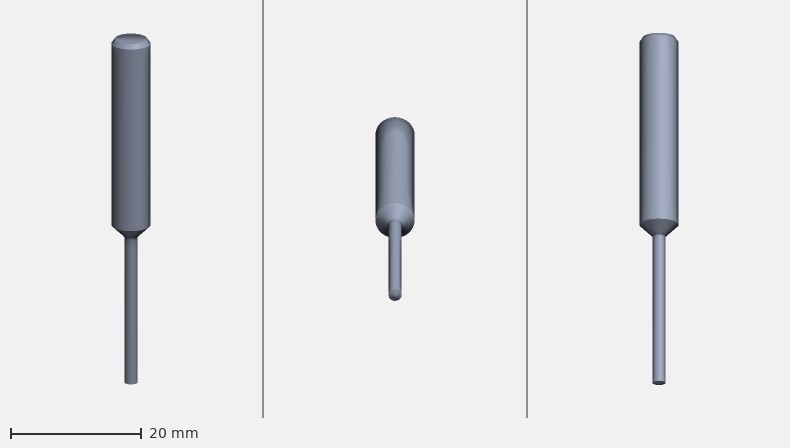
import cadquery as cq
import math

total_length = 56.0
shank_diameter = 6.0
shank_radius = shank_diameter / 2
cutter_radius = 1.0

top_chamfer_width = 0.5
top_chamfer_height = 0.7
taper_height = 1.9
shank_length = 32.05

point_angle = 140.0

top_z = total_length / 2
tip_z = -total_length / 2
shank_bottom_z = top_z - shank_length
point_height = cutter_radius / math.tan(math.radians(point_angle / 2))


def revolve_profile(points):
    """Revolve a closed (radius, z) outline about the Z axis."""
    return cq.Workplane("XZ").polyline(points).close().revolve(360, (0, 0, 0), (0, 1, 0))


def make_shank():
    """Cylindrical holder with a chamfered top and a cone down to the cutter."""
    return revolve_profile([
        (0, shank_bottom_z),
        (cutter_radius, shank_bottom_z),
        (shank_radius, shank_bottom_z + taper_height),
        (shank_radius, top_z - top_chamfer_height),
        (shank_radius - top_chamfer_width, top_z),
        (0, top_z),
    ])


def make_cutter():
    """Slim drill that meets the flat lower end of the shank."""
    return revolve_profile([
        (0, tip_z),
        (cutter_radius, tip_z + point_height),
        (cutter_radius, shank_bottom_z),
        (0, shank_bottom_z),
    ])


shank = make_shank()
cutter = make_cutter()

result = cq.Compound.makeCompound([shank.val(), cutter.val()])